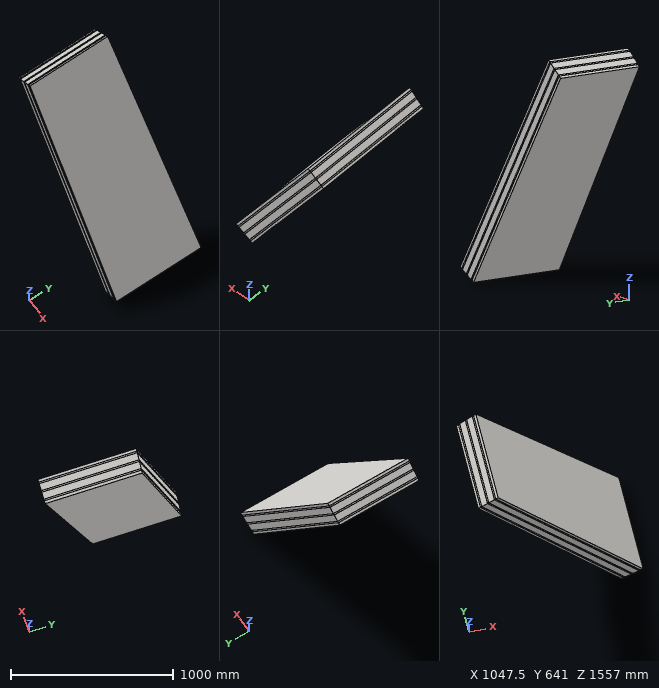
import cadquery as cq
import math

total_height = 1557.0
max_width = 641.0
slope_angle = 58.2
upper_end_angle = 36.8
lower_end_angle = 27.2

skin_thickness = 19.0
sheet_thickness = 10.0
core_thickness = 45.0
panel_thickness = 2 * skin_thickness + 3 * sheet_thickness + 2 * core_thickness

back_taper_along = 51.0
back_taper_through = 8.0
front_taper_along = 1.0
front_taper_through = 0.3

slope = math.radians(slope_angle)
down_x, down_z = math.cos(slope), -math.sin(slope)
out_x, out_z = math.sin(slope), math.cos(slope)

normal_angle = 90 - slope_angle
upper_end_lean = -math.tan(math.radians(upper_end_angle - normal_angle))
lower_end_lean = math.tan(math.radians(normal_angle - lower_end_angle))

upper_end_rise = panel_thickness * (out_z + upper_end_lean * down_z)
underside_drop = total_height - upper_end_rise
underside_length = underside_drop / math.sin(slope)
top_length = underside_length + panel_thickness * (lower_end_lean - upper_end_lean)


def end_edge(depth, at_lower_end):
    """Front and back points of an end edge, at a depth measured from the underside."""
    if at_lower_end:
        travel = underside_length + depth * lower_end_lean
    else:
        travel = depth * upper_end_lean
    x = travel * down_x + depth * out_x
    z = underside_drop + travel * down_z + depth * out_z

    lowest_top_travel = underside_length + panel_thickness * lower_end_lean
    along = (lowest_top_travel - travel) / top_length
    through = 1 - depth / panel_thickness
    front_y = front_taper_along * along + front_taper_through * through
    back_y = max_width - back_taper_along * along - back_taper_through * through
    return cq.Vector(x, front_y, z), cq.Vector(x, back_y, z)


def make_layer(bottom, thickness):
    """One flat layer of the panel as a six-sided solid with slanting edges."""
    top = bottom + thickness
    a_front, a_back = end_edge(bottom, False)
    b_front, b_back = end_edge(bottom, True)
    c_front, c_back = end_edge(top, True)
    d_front, d_back = end_edge(top, False)
    outlines = [
        [a_front, b_front, c_front, d_front],
        [a_back, d_back, c_back, b_back],
        [a_front, a_back, b_back, b_front],
        [b_front, b_back, c_back, c_front],
        [c_front, c_back, d_back, d_front],
        [d_front, d_back, a_back, a_front],
    ]
    faces = [cq.Face.makeFromWires(cq.Wire.makePolygon(points, close=True)) for points in outlines]
    return cq.Solid.makeSolid(cq.Shell.makeShell(faces))


def make_skin(bottom):
    return make_layer(bottom, skin_thickness)


def make_sheet(bottom):
    return make_layer(bottom, sheet_thickness)


def make_core(bottom):
    return make_layer(bottom, core_thickness)


skin_bottoms = [0, panel_thickness - skin_thickness]
skins = [make_skin(bottom) for bottom in skin_bottoms]

layer_pitch = sheet_thickness + core_thickness
sheets = []
for index in range(3):
    sheets.append(make_sheet(skin_thickness + index * layer_pitch))

cores = []
for index in range(2):
    cores.append(make_core(skin_thickness + sheet_thickness + index * layer_pitch))

result = cq.Compound.makeCompound([*skins, *sheets, *cores])